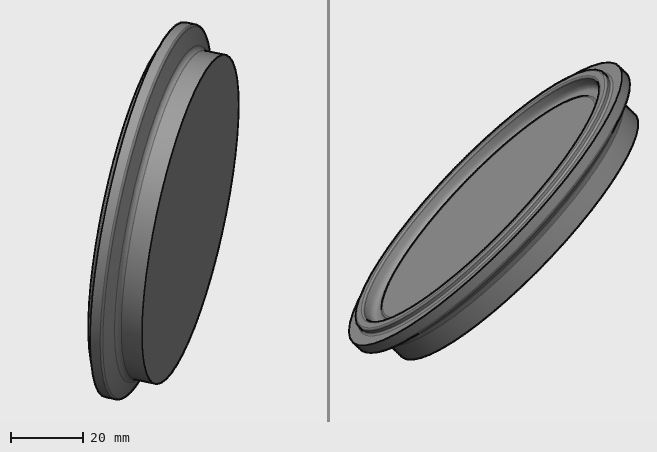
import cadquery as cq
import math

flange_radius = 106 / 2
boss_radius = 97.6 / 2
neck_radius = 93 / 2

flange_start = 2.0
cone_start = 5.3
total_length = 15.0
cone_angle = math.radians(21)
cone_end = cone_start + (flange_radius - neck_radius) * math.tan(cone_angle)

boss_rounding = 0.6
rim_rounding = 0.7
neck_rounding = 1.7

lip_rounding = 0.6
trough_outer_radius = 45.7
trough_bottom_radius = 43.9
trough_inner_radius = 41.9
floor_radius = 41.3
floor_depth = 3.2
trough_depth = 4.0
inner_slope = math.radians(50)

SIZE_TOLERANCE = 0.01


def revolve_about_x(profile):
    """Close a half profile and turn it fully about the X axis."""
    return profile.close().revolve(360, (0, 0, 0), (1, 0, 0))


def round_circle(body, x, radius, rounding):
    """Round the circular edge of the given radius at station x."""
    reach = radius + SIZE_TOLERANCE
    near_station = cq.selectors.BoxSelector(
        (x - SIZE_TOLERANCE, -reach, -reach),
        (x + SIZE_TOLERANCE, reach, reach),
        boundingbox=True,
    )
    candidates = body.edges(near_station)
    circle = candidates.filter(lambda edge: abs(edge.radius() - radius) < SIZE_TOLERANCE)
    return circle.fillet(rounding)


def make_body():
    """Boss, clamping flange with a conical back, and neck."""
    outline = [
        (0, 0),
        (0, boss_radius),
        (flange_start, boss_radius),
        (flange_start, flange_radius),
        (cone_start, flange_radius),
        (cone_end, neck_radius),
        (total_length, neck_radius),
        (total_length, 0),
    ]
    body = revolve_about_x(cq.Workplane("XY").polyline(outline))
    body = round_circle(body, 0, boss_radius, boss_rounding)
    body = round_circle(body, flange_start, boss_radius, boss_rounding)
    body = round_circle(body, cone_start, flange_radius, rim_rounding)
    return round_circle(body, cone_end, neck_radius, neck_rounding)


def make_recess():
    """Volume removed from the boss face: the sunken floor, its trough and the rounded lip."""
    floor_rounding = (trough_inner_radius - floor_radius) / math.sin(inner_slope)
    rounding_centre_depth = floor_depth + floor_rounding
    half_slope = inner_slope / 2
    rounding_middle = (
        rounding_centre_depth - floor_rounding * math.cos(half_slope),
        floor_radius + floor_rounding * math.sin(half_slope),
    )
    trough_inner_end = (
        rounding_centre_depth - floor_rounding * math.cos(inner_slope),
        trough_inner_radius,
    )
    lip_inset = lip_rounding * (1 - math.sqrt(0.5))
    lip_middle = (lip_inset, trough_outer_radius + lip_inset)
    profile = (
        cq.Workplane("XY")
        .lineTo(0, trough_outer_radius + lip_rounding)
        .threePointArc(lip_middle, (lip_rounding, trough_outer_radius))
        .spline(
            [(trough_depth, trough_bottom_radius), trough_inner_end],
            tangents=[(1, 0), (0, -1), (-math.sin(inner_slope), -math.cos(inner_slope))],
            includeCurrent=True,
        )
        .threePointArc(rounding_middle, (floor_depth, floor_radius))
        .lineTo(floor_depth, 0)
    )
    return revolve_about_x(profile)


result = make_body().cut(make_recess())